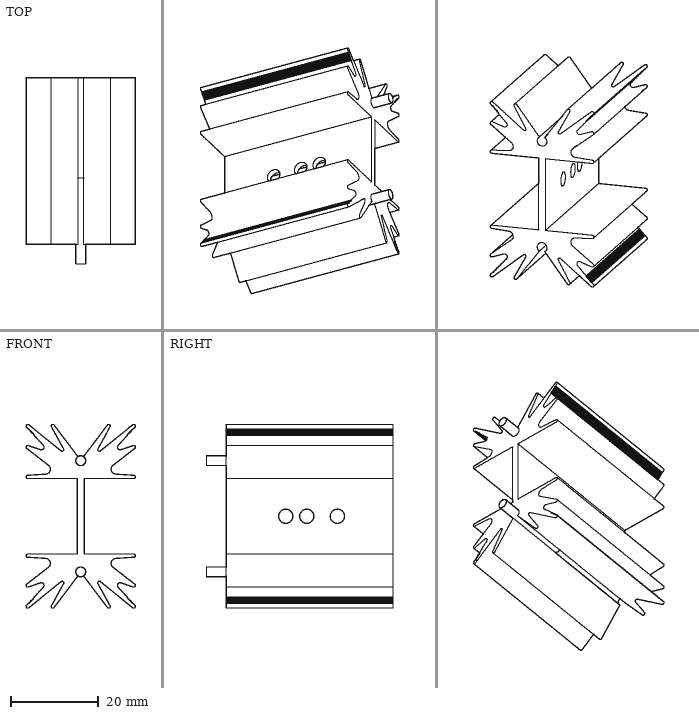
import cadquery as cq
import math

BODY_LENGTH = 38.1
WIDTH = 25.0
HEIGHT = 42.0
WEB_THICKNESS = 1.6
WEB_HEIGHT = 17.16

TIP_RADIUS = 0.4
TIP_X = WIDTH / 2 - TIP_RADIUS
TIP_TOP_Z = HEIGHT / 2 - TIP_RADIUS
INNER_TIP_RADIUS = 0.38
FLANGE_TIP = (TIP_X, WEB_HEIGHT / 2 + TIP_RADIUS, TIP_RADIUS)
LOWER_VALLEY = (8.05, 10.75, 1.1)
MIDDLE_TIP = (TIP_X, 15.8, TIP_RADIUS)
SERRATED_VALLEY = (9.0, 15.8, 0.6)
CORNER_TIP = (TIP_X, TIP_TOP_Z, TIP_RADIUS)
UPPER_VALLEY = (4.25, 15.2, 0.35)
INNER_TIP = (6.38, HEIGHT / 2 - INNER_TIP_RADIUS, INNER_TIP_RADIUS)

GROOVE_COUNT = 7
GROOVE_PITCH = 0.29
GROOVE_DEPTH = 0.15
FIRST_GROOVE_OFFSET = 0.7

PIN_Z = 12.7
PIN_DIAMETER = 2.32
PIN_BORE_DIAMETER = 2.18
PIN_INSERTION = 15.1
PIN_PROTRUSION = 4.5
PIN_TAPER_LENGTH = 0.35
PIN_TIP_DIAMETER = 2.28
SLIT_WIDTH = 1.3

HOLE_DIAMETER = 3.2
HOLE_OFFSETS = (13.6, 18.4, 25.4)

FRONT_Y = -BODY_LENGTH / 2


def cross_tangent(start, end, start_is_tip):
    """End points of the line joining a tip circle and a valley circle on opposite sides."""
    x1, z1, r1 = start
    x2, z2, r2 = end
    distance = math.hypot(x2 - x1, z2 - z1)
    heading = math.atan2(z2 - z1, x2 - x1)
    side = -1 if start_is_tip else 1
    normal = heading + side * math.acos((r1 + r2) / distance)
    nx = math.cos(normal)
    nz = math.sin(normal)
    return (x1 + r1 * nx, z1 + r1 * nz), (x2 - r2 * nx, z2 - r2 * nz)


def arc_middle(circle, start, end, is_tip):
    """Middle point of the arc, counterclockwise round a tip and clockwise round a valley."""
    x, z, r = circle
    a1 = math.atan2(start[1] - z, start[0] - x)
    a2 = math.atan2(end[1] - z, end[0] - x)
    full_turn = 2 * math.pi
    sweep = (a2 - a1) % full_turn
    if not is_tip:
        sweep -= full_turn
    middle = a1 + sweep / 2
    return x + r * math.cos(middle), z + r * math.sin(middle)


def slit_edge():
    """Point where the inner fin face runs into the pin bore."""
    x = SLIT_WIDTH / 2
    return x, PIN_Z + math.sqrt((PIN_DIAMETER / 2) ** 2 - x**2)


def circle_tangent_point(point, circle):
    """Point on a tip where the straight inner fin face through the given point touches it."""
    x, z, r = circle
    distance = math.hypot(point[0] - x, point[1] - z)
    heading = math.atan2(point[1] - z, point[0] - x)
    angle = heading - math.acos(r / distance)
    return x + r * math.cos(angle), z + r * math.sin(angle)


def corner_fin_outer_face():
    """Straight outer face of the corner fin, from its valley to its tip."""
    return cross_tangent(SERRATED_VALLEY, CORNER_TIP, False)


def half_cluster():
    """Right half of the upper fin cluster, from the middle plane outwards."""
    circles = [
        FLANGE_TIP,
        LOWER_VALLEY,
        MIDDLE_TIP,
        SERRATED_VALLEY,
        CORNER_TIP,
        UPPER_VALLEY,
        INNER_TIP,
    ]
    slit = slit_edge()
    arc_start = (FLANGE_TIP[0], WEB_HEIGHT / 2)
    outline = cq.Workplane("XZ", origin=(0, -FRONT_Y, 0))
    outline = outline.moveTo(0, WEB_HEIGHT / 2).lineTo(*arc_start)
    for index, circle in enumerate(circles):
        is_tip = index % 2 == 0
        if circle is INNER_TIP:
            arc_end = circle_tangent_point(slit, circle)
            next_start = slit
        else:
            arc_end, next_start = cross_tangent(circle, circles[index + 1], is_tip)
        middle = arc_middle(circle, arc_start, arc_end, is_tip)
        outline = outline.threePointArc(middle, arc_end).lineTo(*next_start)
        arc_start = next_start
    return outline.lineTo(0, slit[1]).close().extrude(BODY_LENGTH)


def serrations():
    """V grooves along the outer face of the corner fin."""
    (x1, z1), (x2, z2) = corner_fin_outer_face()
    length = math.hypot(x2 - x1, z2 - z1)
    ux = (x2 - x1) / length
    uz = (z2 - z1) / length
    grooves = cq.Workplane("XZ", origin=(0, -FRONT_Y, 0))
    for index in range(GROOVE_COUNT):
        middle = length - FIRST_GROOVE_OFFSET - index * GROOVE_PITCH
        cx = x1 + middle * ux
        cz = z1 + middle * uz
        half = GROOVE_PITCH / 2
        grooves = (
            grooves.moveTo(cx - half * ux, cz - half * uz)
            .lineTo(cx + half * ux, cz + half * uz)
            .lineTo(cx - GROOVE_DEPTH * uz, cz + GROOVE_DEPTH * ux)
            .close()
        )
    return grooves.extrude(BODY_LENGTH)


def rod(diameter, start_y, length):
    """Cylinder along +Y on the axis of the upper pin."""
    plane = cq.Workplane("XZ", origin=(0, start_y, PIN_Z))
    return plane.circle(diameter / 2).extrude(-length)


def pin():
    """Hollow pin with a slightly tapered outer end."""
    tip_y = FRONT_Y - PIN_PROTRUSION
    length = PIN_PROTRUSION + PIN_INSERTION
    taper = (
        cq.Workplane("XZ", origin=(0, tip_y + PIN_TAPER_LENGTH, PIN_Z))
        .circle(PIN_DIAMETER / 2)
        .workplane(offset=PIN_TAPER_LENGTH)
        .circle(PIN_TIP_DIAMETER / 2)
        .loft()
    )
    shank = rod(PIN_DIAMETER, tip_y + PIN_TAPER_LENGTH, length - PIN_TAPER_LENGTH)
    return shank.union(taper).cut(rod(PIN_BORE_DIAMETER, tip_y, length))


def upper_cluster():
    """Complete upper fin cluster with its pin."""
    half = half_cluster().cut(serrations())
    cluster = half.union(half.mirror("YZ"))
    cluster = cluster.cut(rod(PIN_DIAMETER, FRONT_Y, BODY_LENGTH))
    return cluster.union(pin())


def web():
    """Flat plate between the clusters, with its mounting holes."""
    plate = cq.Workplane("XY").box(WEB_THICKNESS, BODY_LENGTH, WEB_HEIGHT)
    centers = [(FRONT_Y + offset, 0) for offset in HOLE_OFFSETS]
    holes = (
        cq.Workplane("YZ", origin=(-WEB_THICKNESS / 2, 0, 0))
        .pushPoints(centers)
        .circle(HOLE_DIAMETER / 2)
        .extrude(WEB_THICKNESS)
    )
    return plate.cut(holes)


cluster = upper_cluster()
result = web().union(cluster).union(cluster.mirror("XY"))